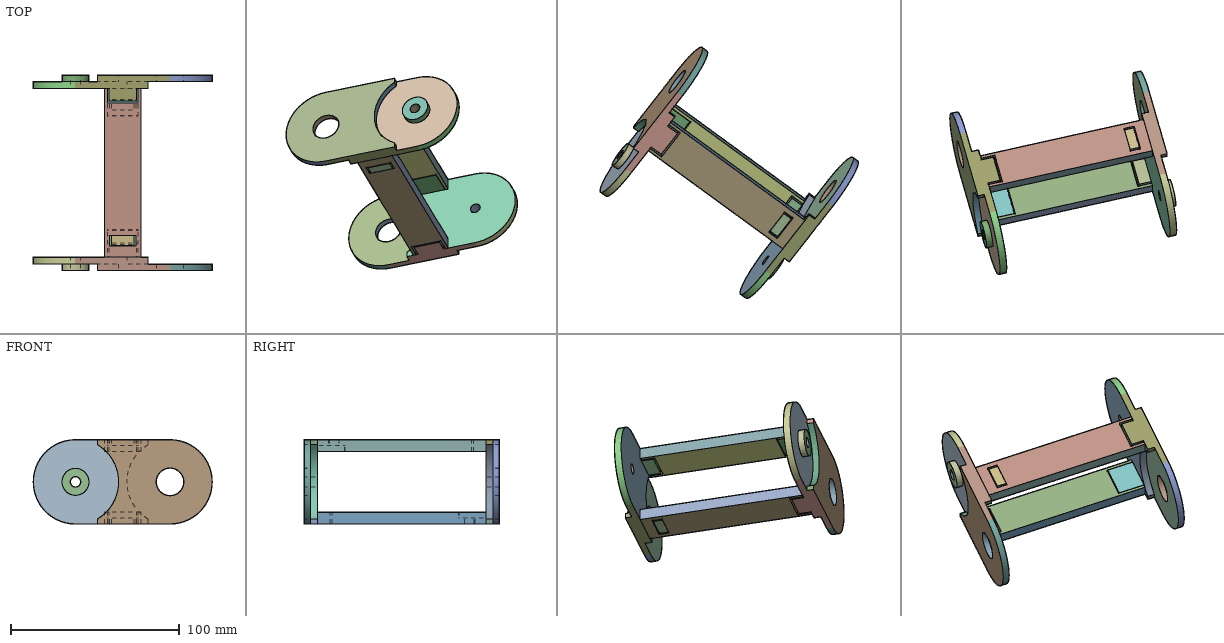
import cadquery as cq

length = 115.6
plate_height = 50.0
pivot_pitch = 55.9
outer_layer = 3.8
inner_layer = 4.2
swing_radius = 25.5
layer_end = 13.0
boss_diameter = 16.0
hole_diameter = 16.2
pin_hole_diameter = 6.0

bar_width = 21.7
bar_thickness = 7.0

socket_width = 18.3
notch_depth = 8.4
tongue_width = 16.1
tongue_length = 7.4

pocket_depth = 16.3
arm_length = 15.8
arm_width = 18.0
arm_thickness = 3.5
window_width = 15.6
window_start = 6.5
window_end = 12.6
catch_width = 13.5
catch_start = 6.9

plate_radius = plate_height / 2
outer_face = length / 2
layer_face = outer_face - outer_layer
inner_face = layer_face - inner_layer
bar_x = pivot_pitch / 2
bar_top = plate_height / 2
bar_bottom = bar_top - bar_thickness


def block(width, y_start, y_end, z_start, z_end):
    """Box centred on the crossbar's X position."""
    return (
        cq.Workplane("XY", origin=(bar_x, (y_start + y_end) / 2, z_start))
        .box(width, y_end - y_start, z_end - z_start, centered=(True, True, False))
    )


def disc(x, diameter, y_start, y_end):
    """Cylinder along Y, at Z = 0."""
    plane = cq.Workplane("XZ", origin=(x, y_start, 0))
    return plane.circle(diameter / 2).extrude(y_start - y_end)


def layer(y_start, y_end, cleared_x, direction):
    """Rounded plate layer cut back from the pivot at cleared_x; it continues along direction."""
    outline = (
        cq.Workplane("XZ", origin=(bar_x, y_start, 0))
        .slot2D(pivot_pitch + plate_height, plate_height)
        .extrude(y_start - y_end)
    )
    removed_length = plate_radius + layer_end
    removed_centre = cleared_x + direction * (layer_end - removed_length / 2)
    end_cut = (
        cq.Workplane("XY", origin=(removed_centre, (y_start + y_end) / 2, 0))
        .box(removed_length, y_end - y_start, plate_height)
    )
    swing_cut = disc(cleared_x, 2 * swing_radius, y_start, y_end)
    return outline.cut(end_cut).cut(swing_cut)


def make_side_plate():
    """Plate at the +Y end: plain tongue at the top, snap arm at the bottom."""
    plate = layer(inner_face, layer_face, pivot_pitch, -1)
    plate = plate.union(layer(layer_face, outer_face, 0, 1))
    plate = plate.union(disc(0, boss_diameter, layer_face, outer_face))
    plate = plate.cut(disc(0, pin_hole_diameter, inner_face, outer_face))
    plate = plate.cut(disc(pivot_pitch, hole_diameter, inner_face, outer_face))

    tongue = block(tongue_width, inner_face - tongue_length, inner_face, bar_bottom, bar_top)
    arm = block(arm_width, inner_face - arm_length, inner_face, -bar_bottom - arm_thickness, -bar_bottom)
    catch = block(catch_width, inner_face - window_end, inner_face - catch_start, -bar_top, -bar_bottom)
    return plate.union(tongue).union(arm).union(catch)


def make_crossbar():
    """Upper bar: open notch at the +Y end, snap pocket and window at the -Y end."""
    bar = block(bar_width, -inner_face, inner_face, bar_bottom, bar_top)
    notch = block(socket_width, inner_face - notch_depth, inner_face, bar_bottom, bar_top)
    pocket = block(socket_width, -inner_face, pocket_depth - inner_face, bar_bottom, bar_bottom + arm_thickness)
    window = block(window_width, window_start - inner_face, window_end - inner_face, bar_bottom, bar_top)
    return bar.cut(notch).cut(pocket).cut(window)


def pair(body):
    """The body and its copy turned half a turn about the X axis."""
    return [body.rotate((0, 0, 0), (1, 0, 0), angle).val() for angle in (0, 180)]


side_plates = pair(make_side_plate())
crossbars = pair(make_crossbar())

result = cq.Compound.makeCompound([*side_plates, *crossbars])